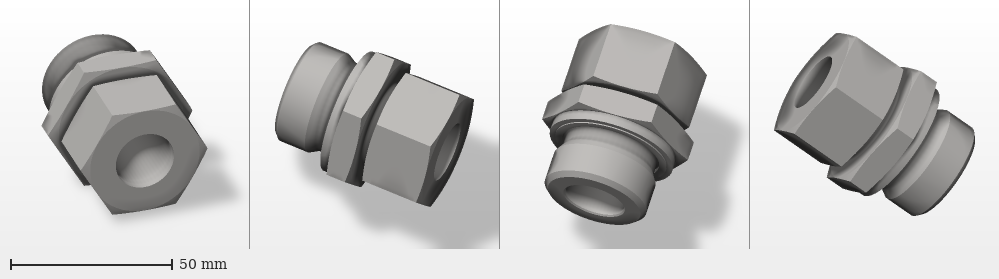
import cadquery as cq
import math

TOTAL_LENGTH = 52.0

BORE_RADIUS = 9.5
BORE_CHAMFER = 0.45

THREAD_RADIUS = 16.55
THREAD_CHAMFER = 1.5
THREAD_END_X = 11.0
NECK_RADIUS = 14.75
RUNOUT_ANGLE = 30.0
RUNOUT_BLEND_RADIUS = 1.75

COLLAR_X = 17.95
COLLAR_RADIUS = 19.95
RING_PROTRUSION = 0.35
RING_OUTER_RADIUS = 18.05
RING_CLEARANCE = 0.95
RING_THICKNESS = 1.45

BODY_HEX_X = 21.0
BODY_HEX_LENGTH = 8.0
BODY_HEX_ACROSS_FLATS = 41.0

SPIGOT_RADIUS = 13.45
SPIGOT_FILLET = 0.75

NUT_X = 32.0
NUT_ACROSS_FLATS = 36.0

HEX_BEVEL_ANGLE = 15.0
HEX_BEVEL_INSET = 0.1

BODY_HEX_END_X = BODY_HEX_X + BODY_HEX_LENGTH
NUT_LENGTH = TOTAL_LENGTH - NUT_X
SPIGOT_END_X = NUT_X + NUT_LENGTH / 2
RING_X = COLLAR_X - RING_PROTRUSION
RING_SEAT_X = RING_X + RING_THICKNESS
RING_INNER_RADIUS = NECK_RADIUS + RING_CLEARANCE


def hexagon(start_x, length, across_flats):
    """Hexagonal prism along X, flats up and down, with conical bevels on both end faces."""
    corner_radius = across_flats / 2 / math.cos(math.pi / 6)
    face_radius = across_flats / 2 - HEX_BEVEL_INSET
    bevel_depth = (corner_radius - face_radius) * math.tan(math.radians(HEX_BEVEL_ANGLE))
    end_x = start_x + length
    prism = (
        cq.Workplane("YZ", origin=(start_x, 0, 0))
        .polygon(6, 2 * corner_radius)
        .extrude(length)
    )
    bevel_envelope = (
        cq.Workplane("XY")
        .moveTo(start_x, 0)
        .lineTo(start_x, face_radius)
        .lineTo(start_x + bevel_depth, corner_radius)
        .lineTo(end_x - bevel_depth, corner_radius)
        .lineTo(end_x, face_radius)
        .lineTo(end_x, 0)
        .close()
        .revolve(360, (0, 0, 0), (1, 0, 0))
    )
    return prism.intersect(bevel_envelope)


def cylinder(start_x, end_x, radius):
    """Solid cylinder on the X axis."""
    return cq.Workplane("YZ", origin=(start_x, 0, 0)).circle(radius).extrude(end_x - start_x)


def make_stud():
    """Stud, undercut neck and collar, with the annular seat for the seal ring."""
    runout = math.radians(RUNOUT_ANGLE)
    blend_drop = RUNOUT_BLEND_RADIUS * (1 - math.cos(runout))
    cone_end_radius = NECK_RADIUS + blend_drop
    cone_end_x = THREAD_END_X + (THREAD_RADIUS - cone_end_radius) / math.tan(runout)
    neck_x = cone_end_x + RUNOUT_BLEND_RADIUS * math.sin(runout)
    neck_end_x = RING_SEAT_X - RING_CLEARANCE
    return (
        cq.Workplane("XY")
        .lineTo(0, THREAD_RADIUS - THREAD_CHAMFER)
        .lineTo(THREAD_CHAMFER, THREAD_RADIUS)
        .lineTo(THREAD_END_X, THREAD_RADIUS)
        .lineTo(cone_end_x, cone_end_radius)
        .tangentArcPoint((neck_x, NECK_RADIUS), relative=False)
        .lineTo(neck_end_x, NECK_RADIUS)
        .tangentArcPoint((RING_SEAT_X, RING_INNER_RADIUS), relative=False)
        .lineTo(RING_SEAT_X, RING_OUTER_RADIUS)
        .lineTo(COLLAR_X, RING_OUTER_RADIUS)
        .lineTo(COLLAR_X, COLLAR_RADIUS)
        .lineTo(BODY_HEX_X, COLLAR_RADIUS)
        .lineTo(BODY_HEX_X, 0)
        .close()
        .revolve(360, (0, 0, 0), (1, 0, 0))
    )


def make_spigot():
    """Plain spigot that enters the nut, flared by a fillet where it leaves the hexagon."""
    return (
        cq.Workplane("XY")
        .moveTo(BODY_HEX_END_X, 0)
        .lineTo(SPIGOT_END_X, 0)
        .lineTo(SPIGOT_END_X, SPIGOT_RADIUS)
        .lineTo(BODY_HEX_END_X + SPIGOT_FILLET, SPIGOT_RADIUS)
        .tangentArcPoint((BODY_HEX_END_X, SPIGOT_RADIUS + SPIGOT_FILLET), relative=False)
        .close()
        .revolve(360, (0, 0, 0), (1, 0, 0))
    )


def make_body():
    """One-piece fitting body with its chamfered through bore."""
    bore = cylinder(0, SPIGOT_END_X, BORE_RADIUS)
    mouth_chamfer = cq.Workplane("XY").add(
        cq.Solid.makeCone(
            BORE_RADIUS + BORE_CHAMFER,
            BORE_RADIUS,
            BORE_CHAMFER,
            cq.Vector(0, 0, 0),
            cq.Vector(1, 0, 0),
        )
    )
    body_hex = hexagon(BODY_HEX_X, BODY_HEX_LENGTH, BODY_HEX_ACROSS_FLATS)
    return make_stud().union(body_hex).union(make_spigot()).cut(bore).cut(mouth_chamfer)


def make_seal_ring():
    """Flat ring seated in the collar and standing slightly proud of it."""
    outer = cylinder(RING_X, RING_SEAT_X, RING_OUTER_RADIUS)
    return outer.cut(cylinder(RING_X, RING_SEAT_X, RING_INNER_RADIUS))


def make_nut():
    """Hexagonal nut with a socket for the spigot and the bore continued behind it."""
    socket = cylinder(NUT_X, SPIGOT_END_X, SPIGOT_RADIUS)
    bore = cylinder(SPIGOT_END_X, TOTAL_LENGTH, BORE_RADIUS)
    return hexagon(NUT_X, NUT_LENGTH, NUT_ACROSS_FLATS).cut(socket).cut(bore)


body = make_body()
seal_ring = make_seal_ring()
nut = make_nut()

result = cq.Compound.makeCompound([part.solids().val() for part in (body, seal_ring, nut)])